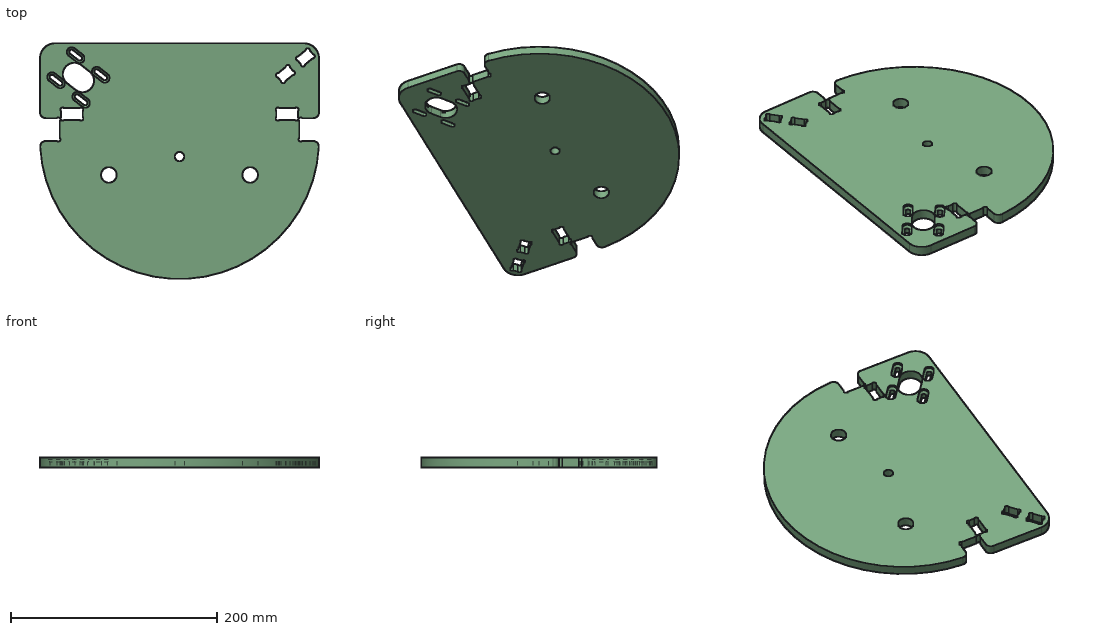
import cadquery as cq
import math

thickness = 10.0
disc_radius = 135.5
back_y = 93.5
back_corner_radius = 15.0

notch_depth = 19.2
notch_bottom_y = -1.4
notch_top_y = 20.5
notch_corner_radius = 5.7

window_length = 21.0
window_width = 11.5
window_bottom_y = 19.0
window_notch_wall = 1.4

relief_radius = 2.0
relief_inset = relief_radius / math.sqrt(2)

center_hole_diameter = 9.0
center_hole_y = -16.5
side_hole_diameter = 15.0
side_hole_x = 68.5
side_hole_y = -34.5

mount_x = -98.0
mount_y = 60.2
mount_angle = -38.0
mount_travel = 10.0
mount_slot_width = 22.2
screw_spacing = 31.0
screw_slot_width = 4.3
countersink_width = 9.2
countersink_recess = 2.0
countersink_taper = 45.0
countersink_depth = (countersink_width - screw_slot_width) / 2 / math.tan(math.radians(countersink_taper))

slanted_angle = 40.0
slanted_x = 112.5
slanted_y = 71.5
slanted_spacing = 25.2
slanted_length = 15.2
slanted_width = 10.3

notch_wall_x = disc_radius - notch_depth
window_outer_x = notch_wall_x - window_notch_wall
window_inner_x = window_outer_x - window_length
window_top_y = window_bottom_y + window_width


def box_between(x_min, x_max, y_min, y_max):
    """Block through the full thickness, given by its plan limits."""
    return (
        cq.Workplane("XY")
        .center((x_min + x_max) / 2, (y_min + y_max) / 2)
        .rect(x_max - x_min, y_max - y_min)
        .extrude(thickness)
    )


def cylinders(points, radius):
    """Round cutters through the full thickness."""
    return cq.Workplane("XY").pushPoints(points).circle(radius).extrude(thickness)


def make_plate():
    plate = (
        cq.Workplane("XY")
        .moveTo(-disc_radius, 0)
        .threePointArc((0, -disc_radius), (disc_radius, 0))
        .lineTo(disc_radius, back_y)
        .lineTo(-disc_radius, back_y)
        .close()
        .extrude(thickness)
    )
    return plate.edges("|Z and >Y").fillet(back_corner_radius)


def cut_notches(plate):
    overshoot = notch_depth
    notch = box_between(notch_wall_x, disc_radius + overshoot, notch_bottom_y, notch_top_y)
    plate = plate.cut(notch).cut(notch.mirror("YZ"))

    selector_margin = 2.7
    for side in (-1, 1):
        corner_zone = cq.selectors.BoxSelector(
            (side * (disc_radius - selector_margin), notch_bottom_y - selector_margin, 0),
            (side * (disc_radius + selector_margin), notch_top_y + selector_margin, thickness),
        )
        corners = plate.edges("|Z").edges(corner_zone)
        plate = corners.fillet(notch_corner_radius)

    relief_x = notch_wall_x + relief_inset
    reliefs = cylinders(
        [(relief_x, notch_bottom_y + relief_inset), (relief_x, notch_top_y - relief_inset)],
        relief_radius,
    )
    return plate.cut(reliefs).cut(reliefs.mirror("YZ"))


def make_relieved_window(x_min, x_max, y_min, y_max):
    """Rectangular cutter with a round relief at each corner."""
    window = box_between(x_min, x_max, y_min, y_max)
    relief_centers = [
        (x, y)
        for x in (x_min + relief_inset, x_max - relief_inset)
        for y in (y_min + relief_inset, y_max - relief_inset)
    ]
    return window.union(cylinders(relief_centers, relief_radius))


def make_slanted_windows():
    half_length = slanted_length / 2
    half_width = slanted_width / 2
    window = make_relieved_window(-half_length, half_length, -half_width, half_width)
    half_spacing = slanted_spacing / 2
    pair = window.translate((-half_spacing, 0, 0)).union(window.translate((half_spacing, 0, 0)))
    return pair.rotate((0, 0, 0), (0, 0, 1), slanted_angle).translate((slanted_x, slanted_y, 0))


def slot_prism(width, start_z, height, taper=0):
    """Round-ended cutter along X, as long as the mount travel between its end centers."""
    return (
        cq.Workplane("XY")
        .workplane(offset=start_z)
        .slot2D(mount_travel + width, width)
        .extrude(height, taper=taper)
    )


def make_motor_mount():
    cutter = slot_prism(mount_slot_width, 0, thickness)
    recess_floor_z = thickness - countersink_recess
    recess = slot_prism(countersink_width, recess_floor_z, countersink_recess)
    countersink = slot_prism(countersink_width, recess_floor_z, -countersink_depth, countersink_taper)
    screw_slot = slot_prism(screw_slot_width, 0, thickness).union(recess).union(countersink)
    for x_side in (-1, 1):
        for y_side in (-1, 1):
            offset = (x_side * screw_spacing / 2, y_side * screw_spacing / 2, 0)
            cutter = cutter.union(screw_slot.translate(offset))
    return cutter.rotate((0, 0, 0), (0, 0, 1), mount_angle).translate((mount_x, mount_y, 0))


side_window = make_relieved_window(window_inner_x, window_outer_x, window_bottom_y, window_top_y)
center_hole = cylinders([(0, center_hole_y)], center_hole_diameter / 2)
side_holes = cylinders(
    [(-side_hole_x, side_hole_y), (side_hole_x, side_hole_y)], side_hole_diameter / 2
)

result = cut_notches(make_plate())
result = result.cut(side_window).cut(side_window.mirror("YZ"))
result = result.cut(center_hole).cut(side_holes)
result = result.cut(make_motor_mount()).cut(make_slanted_windows())